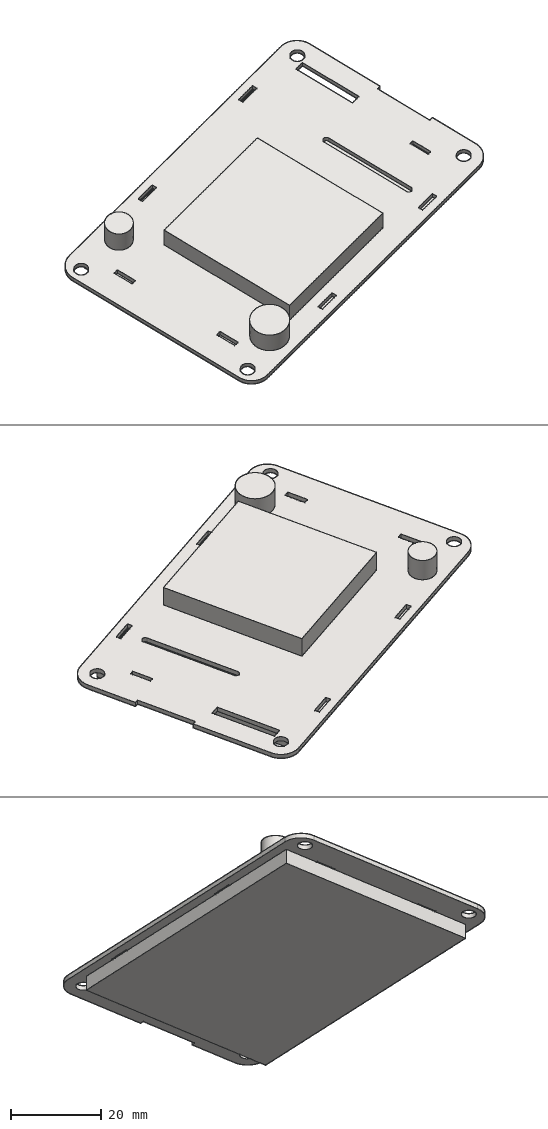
import cadquery as cq

BOARD_WIDTH = 55.65
BOARD_LENGTH = 85.2
BOARD_THICKNESS = 1.2
CORNER_RADIUS = 4.5

HOLE_DIAMETER = 3.3
HOLE_X = 23.35
REAR_HOLE_Y = 38.3
FRONT_HOLE_Y = -39.5

NOTCH_LEFT = -3.5
NOTCH_RIGHT = 11.2
NOTCH_DEPTH = 0.9

WINDOW_LENGTH = 15.85
WINDOW_WIDTH = 2.3
WINDOW_X = -13.3
WINDOW_Y = 36.2

LONG_SLOT_LENGTH = 24.6
LONG_SLOT_WIDTH = 1.5
LONG_SLOT_X = 8.2
LONG_SLOT_Y = 23.1

EDGE_SLOT_LENGTH = 5.0
EDGE_SLOT_WIDTH = 1.2
REAR_SLOT_WIDTH = 0.9
SIDE_SLOT_X = 25.2
SIDE_SLOT_YS = (22.8, -13.3)
END_SLOT_X = 14.4
FRONT_SLOT_Y = -35.4
REAR_SLOT_Y = 34.2

LOWER_WIDTH = 51.1
LOWER_REAR = 34.5
LOWER_FRONT = -35.7
LOWER_HEIGHT = 3.6

UPPER_WIDTH = 35.2
UPPER_LENGTH = 33.6
UPPER_HEIGHT = 5.1
UPPER_X = 4.4
UPPER_Y = -6.0

SMALL_DIAMETER = 6.4
SMALL_HEIGHT = 5.6
SMALL_CENTER = (-22.1, -27.6)
LARGE_DIAMETER = 8.9
LARGE_HEIGHT = 5.4
LARGE_CENTER = (21.2, -28.9)


def box(width, length, height, x, y, bottom=0.0):
    """Upright box centred on (x, y) with its underside at the given Z."""
    return (
        cq.Workplane("XY")
        .box(width, length, height, centered=(True, True, False))
        .translate((x, y, bottom))
    )


def board_cutter(width, length, x, y):
    """Rectangular cutter as thick as the board."""
    return box(width, length, BOARD_THICKNESS, x, y)


def cylinder(diameter, height, center):
    """Cylinder standing on the board."""
    return cq.Workplane("XY", origin=(*center, BOARD_THICKNESS)).circle(diameter / 2).extrude(height)


board = board_cutter(BOARD_WIDTH, BOARD_LENGTH, 0, 0).edges("|Z").fillet(CORNER_RADIUS)

notch_width = NOTCH_RIGHT - NOTCH_LEFT
notch_x = (NOTCH_LEFT + NOTCH_RIGHT) / 2
notch_y = (BOARD_LENGTH - NOTCH_DEPTH) / 2
board = board.cut(board_cutter(notch_width, NOTCH_DEPTH, notch_x, notch_y))

hole_centers = [(x, y) for x in (-HOLE_X, HOLE_X) for y in (FRONT_HOLE_Y, REAR_HOLE_Y)]
holes = cq.Workplane("XY").pushPoints(hole_centers).circle(HOLE_DIAMETER / 2).extrude(BOARD_THICKNESS)
board = board.cut(holes)

board = board.cut(board_cutter(WINDOW_LENGTH, WINDOW_WIDTH, WINDOW_X, WINDOW_Y))
long_slot = (
    cq.Workplane("XY")
    .center(LONG_SLOT_X, LONG_SLOT_Y)
    .slot2D(LONG_SLOT_LENGTH, LONG_SLOT_WIDTH)
    .extrude(BOARD_THICKNESS)
)
board = board.cut(long_slot)

for slot_y in SIDE_SLOT_YS:
    for slot_x in (-SIDE_SLOT_X, SIDE_SLOT_X):
        board = board.cut(board_cutter(EDGE_SLOT_WIDTH, EDGE_SLOT_LENGTH, slot_x, slot_y))
for slot_x in (-END_SLOT_X, END_SLOT_X):
    board = board.cut(board_cutter(EDGE_SLOT_LENGTH, EDGE_SLOT_WIDTH, slot_x, FRONT_SLOT_Y))
board = board.cut(board_cutter(EDGE_SLOT_LENGTH, REAR_SLOT_WIDTH, END_SLOT_X, REAR_SLOT_Y))

lower_length = LOWER_REAR - LOWER_FRONT
lower_y = (LOWER_REAR + LOWER_FRONT) / 2
lower_block = box(LOWER_WIDTH, lower_length, LOWER_HEIGHT, 0, lower_y, -LOWER_HEIGHT)
upper_block = box(UPPER_WIDTH, UPPER_LENGTH, UPPER_HEIGHT, UPPER_X, UPPER_Y, BOARD_THICKNESS)

result = (
    board.union(lower_block)
    .union(upper_block)
    .union(cylinder(SMALL_DIAMETER, SMALL_HEIGHT, SMALL_CENTER))
    .union(cylinder(LARGE_DIAMETER, LARGE_HEIGHT, LARGE_CENTER))
)